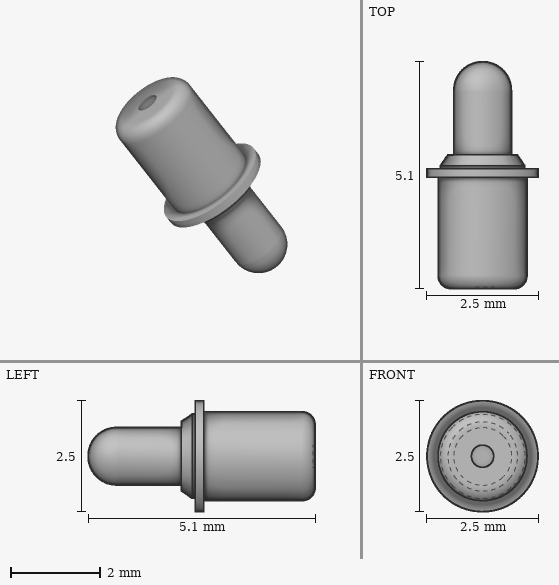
import cadquery as cq

total_length = 5.1
flange_diameter = 2.5
flange_thickness = 0.2
body_diameter = 2.0
body_length = 2.5
body_end_fillet = 0.3
collar_diameter = 1.895
collar_tip_diameter = 1.56
collar_straight_length = 0.06
collar_cone_length = 0.245
plunger_diameter = 1.3
recess_diameter = 0.5
recess_depth = 0.05

flange_end = body_length + flange_thickness
collar_straight_end = flange_end + collar_straight_length
collar_end = collar_straight_end + collar_cone_length
plunger_radius = plunger_diameter / 2
dome_start = total_length - plunger_radius
dome_arc_offset = plunger_radius * 0.5 ** 0.5


def turned_pin():
    """Body, flange, tapered collar and domed plunger as one revolved solid."""
    body_radius = body_diameter / 2
    flange_radius = flange_diameter / 2
    profile = (
        cq.Workplane("XY")
        .lineTo(body_radius - body_end_fillet, 0)
        .radiusArc((body_radius, body_end_fillet), -body_end_fillet)
        .lineTo(body_radius, body_length)
        .lineTo(flange_radius, body_length)
        .lineTo(flange_radius, flange_end)
        .lineTo(collar_diameter / 2, flange_end)
        .lineTo(collar_diameter / 2, collar_straight_end)
        .lineTo(collar_tip_diameter / 2, collar_end)
        .lineTo(plunger_radius, collar_end)
        .lineTo(plunger_radius, dome_start)
        .threePointArc((dome_arc_offset, dome_start + dome_arc_offset), (0, total_length))
        .close()
    )
    return profile.revolve(360, (0, 0, 0), (0, 1, 0))


def end_recess():
    """Shallow round recess in the flat end of the body."""
    return cq.Workplane("XZ").circle(recess_diameter / 2).extrude(-recess_depth)


result = turned_pin().cut(end_recess())